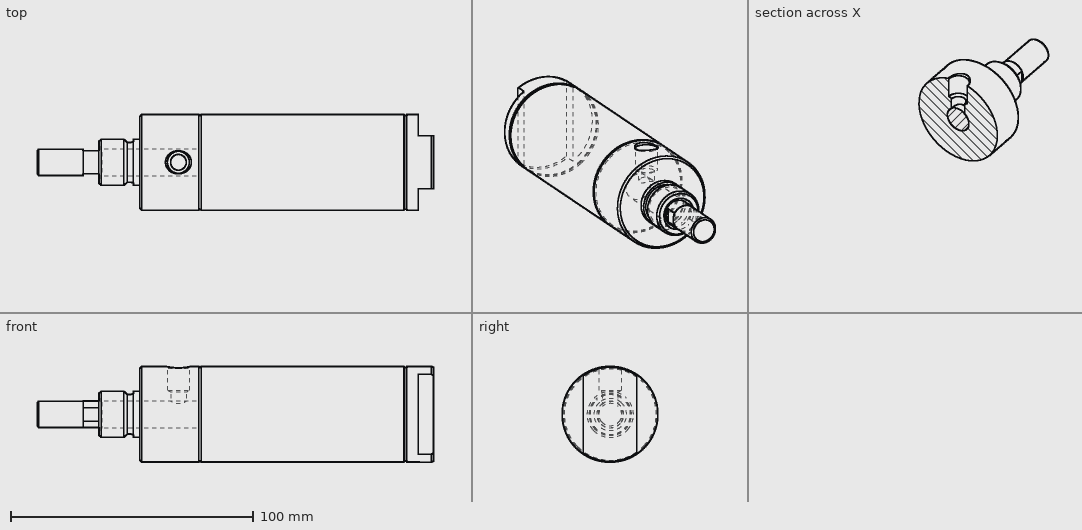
import cadquery as cq


overall_length = 163.53
nose_front = 25.4
head_front = 42.2
tube_front = 66.6
tube_rear = 151.65
cap_flat_front = 157.2

body_diameter = 39.62
body_radius = body_diameter / 2

rod_diameter = 11.11
rod_radius = rod_diameter / 2
rod_end_radius = 10.95 / 2
rod_chamfer_depth = 0.8
rod_chamfer_length = 0.5
wrench_flat_front = 18.9
wrench_flat_width = 9.6

head_chamfer = 0.9
nose_radius = 19.05 / 2
nose_chamfer_length = 1.0
nose_chamfer_depth = 0.8
nose_mouth_radius = 13.4 / 2
nose_mouth_depth = nose_mouth_radius - rod_radius
relief_radius = 16.5 / 2
relief_lip_radius = 17.5 / 2
relief_step_radius = 17.1 / 2
relief_front = 35.7
relief_lip = 36.6
relief_floor_front = 37.1
relief_floor_rear = 38.6
relief_rear = 39.6

port_x = 58.2
port_mouth_radius = 10.7 / 2
port_drill_radius = 9.1 / 2
port_bore_radius = 6.5 / 2
port_drill_floor = 10.0
port_drill_point = 0.75

tube_front_chamfer_length = 1.0
tube_front_chamfer_depth = 0.7
tube_rear_chamfer_length = 0.5
tube_rear_chamfer_depth = 0.4

cap_neck_radius = body_radius - tube_rear_chamfer_depth
cap_neck_length = 0.8
cap_chamfer_length = 0.95
cap_chamfer_depth = 0.4
tang_width = 22.0


def turned(outline):
    """Solid of revolution about X from (x, radius) points."""
    return cq.Workplane("XZ").polyline(outline).close().revolve(360, (0, 0, 0), (1, 0, 0))


def cut_flats(body, front, rear, width, diameter):
    """Cut parallel flats on both Y sides, leaving the given width between them."""
    length = rear - front
    depth = (diameter - width) / 2
    for side in (-1, 1):
        center = ((front + rear) / 2, side * (width + depth) / 2, 0)
        body = body.cut(cq.Workplane("XY").box(length, depth, diameter).translate(center))
    return body


def make_rod():
    rod = turned([
        (0, 0),
        (0, rod_end_radius - rod_chamfer_depth),
        (rod_chamfer_length, rod_end_radius),
        (wrench_flat_front, rod_end_radius),
        (wrench_flat_front, rod_radius),
        (tube_front, rod_radius),
        (tube_front, 0),
    ])
    return cut_flats(rod, wrench_flat_front, nose_front, wrench_flat_width, rod_diameter)


def make_port_cutter():
    """Countersunk drilled hole with a narrower bore that reaches the rod."""
    outline = [
        (0, 0),
        (port_bore_radius, 0),
        (port_bore_radius, port_drill_floor - port_drill_point),
        (port_drill_radius, port_drill_floor),
        (port_drill_radius, body_radius - (port_mouth_radius - port_drill_radius)),
        (port_mouth_radius, body_radius),
        (0, body_radius),
    ]
    cutter = cq.Workplane("XZ").polyline(outline).close().revolve(360, (0, 0, 0), (0, 1, 0))
    return cutter.translate((port_x, 0, 0))


def make_head():
    head = turned([
        (nose_front, nose_mouth_radius),
        (nose_front, nose_radius - nose_chamfer_depth),
        (nose_front + nose_chamfer_length, nose_radius),
        (relief_front, nose_radius),
        (relief_lip, relief_lip_radius),
        (relief_floor_front, relief_radius),
        (relief_floor_rear, relief_radius),
        (relief_rear, relief_step_radius),
        (relief_rear, nose_radius),
        (head_front, nose_radius),
        (head_front, body_radius - head_chamfer),
        (head_front + head_chamfer, body_radius),
        (tube_front, body_radius),
        (tube_front, rod_radius),
        (nose_front + nose_mouth_depth, rod_radius),
    ])
    return head.cut(make_port_cutter())


def make_tube():
    return turned([
        (tube_front, 0),
        (tube_front, body_radius - tube_front_chamfer_depth),
        (tube_front + tube_front_chamfer_length, body_radius),
        (tube_rear - tube_rear_chamfer_length, body_radius),
        (tube_rear, body_radius - tube_rear_chamfer_depth),
        (tube_rear, 0),
    ])


def make_cap():
    cap = turned([
        (tube_rear, 0),
        (tube_rear, cap_neck_radius),
        (tube_rear + cap_neck_length, cap_neck_radius),
        (tube_rear + cap_neck_length, body_radius),
        (overall_length - cap_chamfer_length, body_radius),
        (overall_length, body_radius - cap_chamfer_depth),
        (overall_length, 0),
    ])
    return cut_flats(cap, cap_flat_front, overall_length, tang_width, body_diameter)


rod = make_rod().solids()
head = make_head().solids()
tube = make_tube().solids()
cap = make_cap().solids()

result = cq.Compound.makeCompound([rod.val(), head.val(), tube.val(), cap.val()])